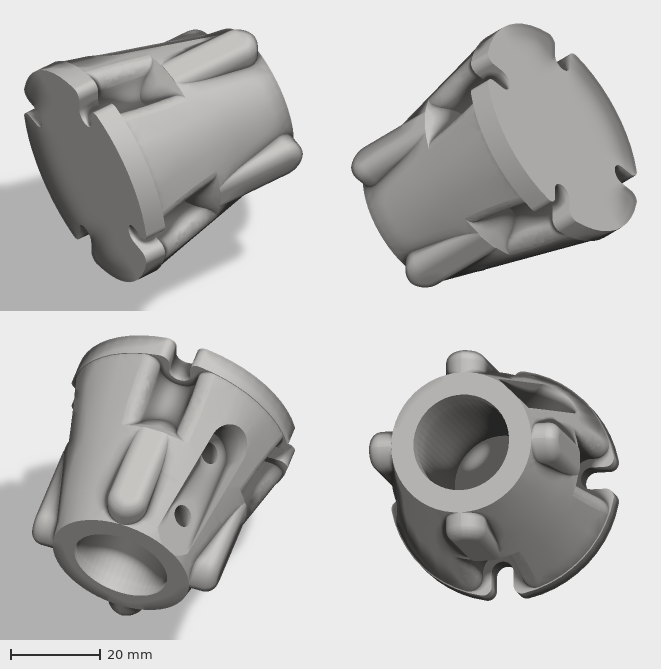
import cadquery as cq
import math

length = 45.0
overall_width = 51.15
disc_thickness = 5.0

cone_base_radius = 25.75
cone_top_radius = 16.1

notch_half_width = 2.5
notch_floor = 18.0
notch_corner_fillet = 2.0

channel_half_width = 4.5
channel_center = 20.5
channel_edge_fillet = 3.0
channel_end = 22.0
ramp_foot = 15.05

rib_half_width = 4.5
rib_height = 21.8
rib_cap_radius = 4.9
rib_edge_fillet = 2.7

bore_radius = 11.0
pocket_half_width = 5.0
pocket_floor_height = 16.0
hole_diameter = 5.0
hole_positions = (17.2, 35.2)

quarter_turns = (0, 90, 180, 270)
pocket_angle = -45.0

margin = 0.5

disc_radius = notch_corner_fillet + math.hypot(
    overall_width / 2 - notch_corner_fillet,
    notch_half_width + notch_corner_fillet,
)
notch_center = notch_floor + notch_half_width
channel_floor = channel_center - channel_half_width
cone_slope = (cone_base_radius - cone_top_radius) / (length - disc_thickness)
cone_radius_at_channel_end = cone_base_radius - cone_slope * (channel_end - disc_thickness)


def along_y(start):
    """Workplane normal to Y whose local axes are X and -Z and whose extrusions run toward +Y."""
    return cq.Workplane(cq.Plane(origin=(0, start, 0), xDir=(1, 0, 0), normal=(0, 1, 0)))


def facing_up(height):
    """Workplane normal to Z at the given height."""
    return cq.Workplane("XY", origin=(0, 0, height))


def turn(shape, angle):
    return shape.rotate((0, 0, 0), (0, 1, 0), angle)


def revolve_about_y(points):
    return cq.Workplane("XY").polyline(points).close().revolve(360, (0, 0, 0), (0, 1, 0))


def slot_cutter(start, depth, half_width, center):
    """Round-bottomed slot along Y, open outward in +Z."""
    outer = 2 * disc_radius
    round_bottom = along_y(start).center(0, -center).circle(half_width).extrude(depth)
    walls = along_y(start).center(0, -(center + outer) / 2).rect(2 * half_width, outer - center).extrude(depth)
    return round_bottom.union(walls)


def make_disc():
    disc = along_y(0).circle(disc_radius).extrude(disc_thickness)
    cutter = slot_cutter(0, disc_thickness, notch_half_width, notch_center)
    for angle in quarter_turns:
        disc = disc.cut(turn(cutter, angle))
    rim = disc_radius - margin
    corners = disc.edges("|Y").filter(lambda e: math.hypot(e.Center().x, e.Center().z) > rim)
    return corners.fillet(notch_corner_fillet)


def make_channelled_cone():
    """Cone with four channels whose lips are rounded and whose rear ends are closed by the ramp."""
    cone = revolve_about_y([
        (0, disc_thickness),
        (cone_base_radius, disc_thickness),
        (cone_top_radius, length),
        (0, length),
    ])
    channel_zone = along_y(disc_thickness).circle(disc_radius).extrude(channel_end - disc_thickness)
    cutter = slot_cutter(disc_thickness, channel_end - disc_thickness, channel_half_width, channel_center)
    channelled_front = cone.intersect(channel_zone)
    for angle in quarter_turns:
        channelled_front = channelled_front.cut(turn(cutter, angle))

    def is_channel_lip(edge):
        middle = edge.Center()
        between_ends = disc_thickness + margin < middle.y < channel_end - margin
        return between_ends and math.hypot(middle.x, middle.z) > channel_center + margin

    channelled_front = channelled_front.edges().filter(is_channel_lip).fillet(channel_edge_fillet)

    ramp = revolve_about_y([
        (0, ramp_foot),
        (channel_floor, ramp_foot),
        (cone_radius_at_channel_end, channel_end),
        (0, channel_end),
    ])
    return cone.cut(channel_zone.cut(channelled_front).cut(ramp))


def make_rib():
    """Rib with rounded edges whose rear end is a pointed arch of two arcs tangent to its sides."""
    arc_offset = rib_cap_radius - rib_half_width
    cap_start = length - math.sqrt(rib_cap_radius**2 - arc_offset**2)
    half_arch = (
        facing_up(bore_radius)
        .moveTo(arc_offset - rib_cap_radius, channel_end)
        .lineTo(arc_offset - rib_cap_radius, cap_start)
        .threePointArc((arc_offset, cap_start + rib_cap_radius), (arc_offset + rib_cap_radius, cap_start))
        .lineTo(arc_offset + rib_cap_radius, channel_end)
        .close()
        .extrude(rib_height - bore_radius)
    )
    crown = half_arch.faces(">Z").edges().filter(lambda e: e.Center().y > channel_end + margin)
    half_arch = crown.fillet(rib_edge_fillet)
    return half_arch.intersect(half_arch.mirror("YZ"))


def cut_pocket(body):
    """Flat-floored pocket, open at the rear, with two holes into the bore."""
    first_hole = hole_positions[0]
    pocket = (
        facing_up(pocket_floor_height)
        .moveTo(-pocket_half_width, length)
        .lineTo(-pocket_half_width, first_hole)
        .threePointArc((0, first_hole - pocket_half_width), (pocket_half_width, first_hole))
        .lineTo(pocket_half_width, length)
        .close()
        .extrude(disc_radius)
    )
    holes = (
        facing_up(0)
        .pushPoints([(0, y) for y in hole_positions])
        .circle(hole_diameter / 2)
        .extrude(disc_radius)
    )
    return body.cut(turn(pocket.union(holes), pocket_angle))


body = make_disc().union(make_channelled_cone())
rib = make_rib()
for angle in quarter_turns:
    body = body.union(turn(rib, angle))
bore = along_y(disc_thickness).circle(bore_radius).extrude(length - disc_thickness)
result = cut_pocket(body.cut(bore))